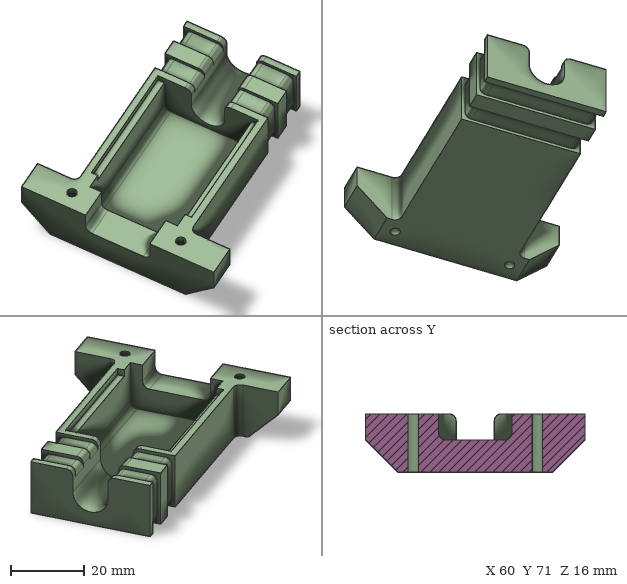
import cadquery as cq

length = 71.0
height = 16.0
round_radius = 2.0
wall = 2.0

flange_width = 60.0
flange_depth = 9.0
flange_chamfer = 8.9
hole_diameter = 2.8
hole_spacing = 33.95
hole_y = 4.9

opening_width = 20.0
opening_floor = 8.9

body_width = 35.2
body_end = 53.0
cavity_width = body_width - 4 * wall
cavity_end = body_end - wall
cavity_floor = 2.0
ledge_start = 13.4
ledge_depth = 2.0

groove_inset = 1.0
collar_start = 58.5
collar_end = 63.4
end_lip_start = length - wall
channel_width = 10.4
channel_bottom = 4.0


def block(width, y_start, y_end, z_start=0, z_end=height):
    """Box centred in X between the given Y and Z limits."""
    size = (width, y_end - y_start, z_end - z_start)
    return cq.Workplane("XY").box(*size, centered=(True, False, False)).translate((0, y_start, z_start))


def make_outer_shell():
    """Solid flange and body, with filleted corners where they meet."""
    flange = block(flange_width, 0, flange_depth)
    flange = flange.faces("<Z").edges("|Y").chamfer(flange_chamfer)
    shell = flange.union(block(body_width, flange_depth, body_end))
    corner_edges = cq.selectors.BoxSelector(
        (-body_width / 2 - 0.7, flange_depth - 0.7, -0.7),
        (body_width / 2 + 0.7, flange_depth + 0.7, height + 0.7),
    )
    return shell.edges("|Z").edges(corner_edges).fillet(round_radius)


def rounded_pocket(width, y_start, y_end, floor):
    """Cutter for an open-topped pocket with rounded lengthwise floor edges."""
    pocket = block(width, y_start, y_end, floor)
    return pocket.faces("<Z").edges("|Y").fillet(round_radius)


def make_flange_holes():
    return (
        cq.Workplane("XY")
        .pushPoints([(-hole_spacing / 2, hole_y), (hole_spacing / 2, hole_y)])
        .circle(hole_diameter / 2)
        .extrude(height)
    )


def make_housing():
    """Flange and hollow body with a stepped rim along both side walls."""
    rim_step = block(body_width - 2 * wall, ledge_start, cavity_end, height - ledge_depth)
    return (
        make_outer_shell()
        .cut(rounded_pocket(opening_width, 0, flange_depth, opening_floor))
        .cut(rounded_pocket(cavity_width, flange_depth, cavity_end, cavity_floor))
        .cut(rim_step)
        .cut(make_flange_holes())
        .cut(channel_cutter(cavity_end, body_end, height))
    )


def channel_cutter(y_start, y_end, top):
    """U-shaped channel whose mouth flares out in convex rounds at the given top."""
    half_width = channel_width / 2
    mouth_half = half_width + round_radius
    arc_center_z = channel_bottom + half_width
    shoulder_z = top - round_radius
    diagonal = round_radius * 0.5 ** 0.5
    round_mid_x = mouth_half - diagonal
    round_mid_z = shoulder_z + diagonal
    return (
        cq.Workplane("XZ", origin=(0, y_start, 0))
        .moveTo(-mouth_half, top)
        .threePointArc((-round_mid_x, round_mid_z), (-half_width, shoulder_z))
        .lineTo(-half_width, arc_center_z)
        .threePointArc((0, channel_bottom), (half_width, arc_center_z))
        .lineTo(half_width, shoulder_z)
        .threePointArc((round_mid_x, round_mid_z), (mouth_half, top))
        .close()
        .extrude(y_start - y_end)
    )


def make_groove_section(y_start, y_end):
    top = height - groove_inset
    section = block(body_width - 2 * groove_inset, y_start, y_end, groove_inset, top)
    section = section.edges("|Y").fillet(round_radius)
    return section.cut(channel_cutter(y_start, y_end, top))


def make_raised_section(y_start, y_end):
    section = block(body_width, y_start, y_end)
    return section.cut(channel_cutter(y_start, y_end, height))


result = make_housing()
for start, end in [(body_end, collar_start), (collar_end, end_lip_start)]:
    result = result.union(make_groove_section(start, end))
for start, end in [(collar_start, collar_end), (end_lip_start, length)]:
    result = result.union(make_raised_section(start, end))